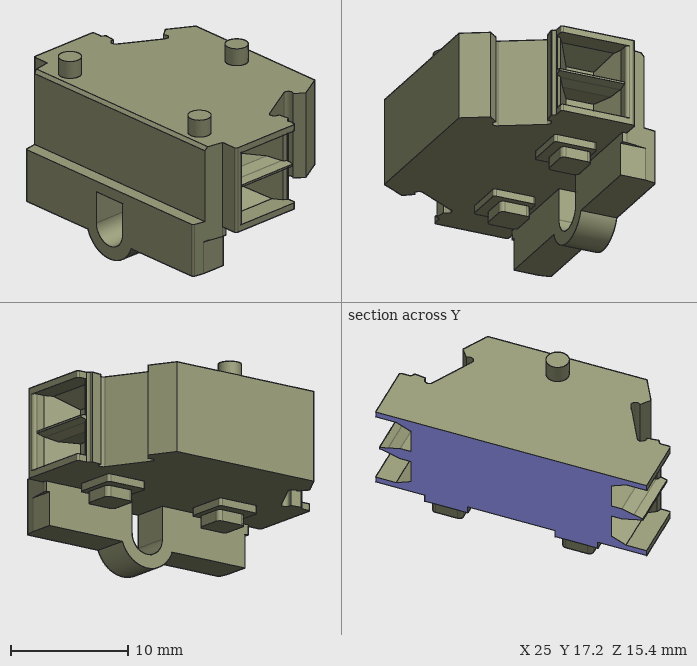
import cadquery as cq
import math

body_height = 8.0
half_width = 12.5
depth = 17.2
front_y = 1.2
front_chamfer = 0.3
corner_radius = 0.2

block_front_y = 3.0
block_back_y = 10.0
side_draft = math.tan(math.radians(10))
waist_half_width = 10.84

bump_foot_x = -11.55
bump_foot_mid = (-11.42, 10.1)
bump_shoulder = (-11.32, 10.3)
bump_top = (-11.2, 10.36)
bump_inner_y = 10.22
relief_x = -10.2
foot_relief_mid = (-9.84, 9.67)
flank_bottom = (-9.46, 9.85)

flank_top = (-7.36, 13.54)
hook_relief_mid = (-7.51, 14.11)
hook_relief_end = (-8.0, 14.0)
hook_half_width = 8.68
hook_y = 14.87
rear_half_width = 7.35

peg_radius = 1.0
peg_height = 1.6
front_peg_x = 8.0
front_peg_y = 2.98
rear_peg_y = 15.0

flange_back_y = 3.41
flange_top = 1.0
flange_bottom = -3.9
flange_step_z = -0.9
flange_lower_half_width = 10.5
trim_width = 1.0
flange_edge_radius = 0.18
eye_center_z = -2.95
eye_outer_radius = 2.84
slot_radius = 1.62

boss_x = 6.0
boss_size = 4.0
boss_y = 6.44
boss_step_z = -0.68
boss_radius = 0.25
tip_size = 2.83
tip_y = 6.07
tip_bottom = -1.67
tip_radius = 0.4

pocket_wall = 0.6
mouth_front_y = 3.84
mouth_back_y = 9.56
mouth_radius = 0.31
mouth_x = -11.4
pillar_x = -11.57
pillar_y = 9.91
floor_x = -8.3
floor_front_y = 4.91
floor_back_y = 7.53
floor_inset = 0.98
wall_taper_x = -10.6
rib_tip_x = -12.15
rib_root_x = -11.33
rib_shoulder_x = -10.22
rib_tip_half = 0.09
rib_root_half = 0.3
rib_shoulder_half = 0.6
clearance = 1.0


def mirrored(left_half):
    """Add the mirror image about the YZ plane."""
    return left_half.union(left_half.mirror("YZ"))


def waist_x(y):
    """X of the drafted left side of the front section."""
    draft_depth = max(block_front_y - y, 0)
    return -waist_half_width + draft_depth * side_draft


def make_housing():
    left_half = (
        cq.Workplane("XY")
        .moveTo(0, front_y)
        .lineTo(waist_x(front_y), front_y)
        .lineTo(-waist_half_width, block_front_y)
        .lineTo(-half_width, block_front_y)
        .lineTo(-half_width, block_back_y)
        .lineTo(bump_foot_x, block_back_y)
        .threePointArc(bump_foot_mid, bump_shoulder)
        .lineTo(*bump_top)
        .lineTo(relief_x, bump_inner_y)
        .lineTo(relief_x, block_back_y)
        .threePointArc(foot_relief_mid, flank_bottom)
        .lineTo(*flank_top)
        .threePointArc(hook_relief_mid, hook_relief_end)
        .lineTo(-hook_half_width, hook_y)
        .lineTo(-rear_half_width, depth)
        .lineTo(0, depth)
        .close()
        .extrude(body_height)
    )
    outer_corners = left_half.faces("<X").edges("|Z")
    left_half = outer_corners.fillet(corner_radius)
    housing = mirrored(left_half)
    return housing.faces("<Y").edges(">Z").chamfer(front_chamfer)


def flange_trim(side):
    """Block that flattens the drafted flange side below the step; side is -1 or 1."""
    trim = cq.Workplane("XY").box(
        trim_width, flange_back_y, flange_step_z - flange_bottom, centered=(True, False, False)
    )
    trim_x = side * (flange_lower_half_width + trim_width / 2)
    return trim.translate((trim_x, 0, flange_bottom))


def make_flange():
    left_half = (
        cq.Workplane("XY", origin=(0, 0, flange_bottom))
        .polyline([
            (0, 0),
            (waist_x(0), 0),
            (-waist_half_width, block_front_y),
            (-waist_half_width, flange_back_y),
            (0, flange_back_y),
        ])
        .close()
        .extrude(flange_top - flange_bottom)
    )
    flange_mid_z = (flange_top + flange_bottom) / 2
    front_corner = cq.selectors.NearestToPointSelector((waist_x(0), 0, flange_mid_z))
    flange = mirrored(left_half.edges(front_corner).fillet(flange_edge_radius))
    for side in (-1, 1):
        flange = flange.cut(flange_trim(side))
    eye = (
        cq.Workplane("XZ")
        .center(0, eye_center_z)
        .circle(eye_outer_radius)
        .extrude(-flange_back_y)
    )
    return flange.union(eye)


def make_eye_slot():
    return (
        cq.Workplane("XZ")
        .moveTo(-slot_radius, 0)
        .lineTo(-slot_radius, eye_center_z)
        .threePointArc((0, eye_center_z - slot_radius), (slot_radius, eye_center_z))
        .lineTo(slot_radius, 0)
        .close()
        .extrude(-flange_back_y)
    )


def make_pegs():
    spots = [(-front_peg_x, front_peg_y), (front_peg_x, front_peg_y), (0, rear_peg_y)]
    return (
        cq.Workplane("XY", origin=(0, 0, body_height))
        .pushPoints(spots)
        .circle(peg_radius)
        .extrude(peg_height)
    )


def left_pad(size, y, bottom, radius):
    """Square pad with rounded corners reaching from the housing bottom down."""
    pad = cq.Workplane("XY").center(-boss_x, y).rect(size, size).extrude(bottom)
    return pad.edges("|Z").fillet(radius)


def make_bosses():
    base = left_pad(boss_size, boss_y, boss_step_z, boss_radius)
    return mirrored(base.union(left_pad(tip_size, tip_y, tip_bottom, tip_radius)))


def make_wire_pocket():
    """Left pocket: its plan shape intersected with its side shape around the rib."""
    outside_x = -half_width - clearance
    open_y = block_back_y + clearance
    round_mid = mouth_radius * math.sqrt(0.5)
    round_mid_inset = mouth_radius - round_mid
    plan = (
        cq.Workplane("XY")
        .moveTo(outside_x, mouth_front_y - mouth_radius)
        .lineTo(-half_width, mouth_front_y - mouth_radius)
        .threePointArc(
            (-half_width + round_mid_inset, mouth_front_y - mouth_radius + round_mid),
            (-half_width + mouth_radius, mouth_front_y),
        )
        .lineTo(mouth_x, mouth_front_y)
        .lineTo(floor_x, floor_front_y)
        .lineTo(floor_x, floor_back_y)
        .lineTo(mouth_x, mouth_back_y)
        .lineTo(pillar_x, pillar_y)
        .lineTo(pillar_x, open_y)
        .lineTo(outside_x, open_y)
        .close()
        .extrude(body_height)
    )
    mid_z = body_height / 2
    upper_profile = [
        (outside_x, body_height - pocket_wall),
        (wall_taper_x, body_height - pocket_wall),
        (floor_x, body_height - pocket_wall - floor_inset),
        (floor_x, mid_z + rib_shoulder_half),
        (rib_shoulder_x, mid_z + rib_shoulder_half),
        (rib_root_x, mid_z + rib_root_half),
        (rib_tip_x, mid_z + rib_tip_half),
    ]
    lower_profile = [(x, body_height - z) for x, z in reversed(upper_profile)]
    side = (
        cq.Workplane("XZ")
        .polyline(upper_profile + lower_profile)
        .close()
        .extrude(-depth)
    )
    return plan.intersect(side)


pocket = make_wire_pocket()
result = (
    make_housing()
    .union(make_flange())
    .cut(make_eye_slot())
    .union(make_pegs())
    .union(make_bosses())
    .cut(pocket)
    .cut(pocket.mirror("YZ"))
)